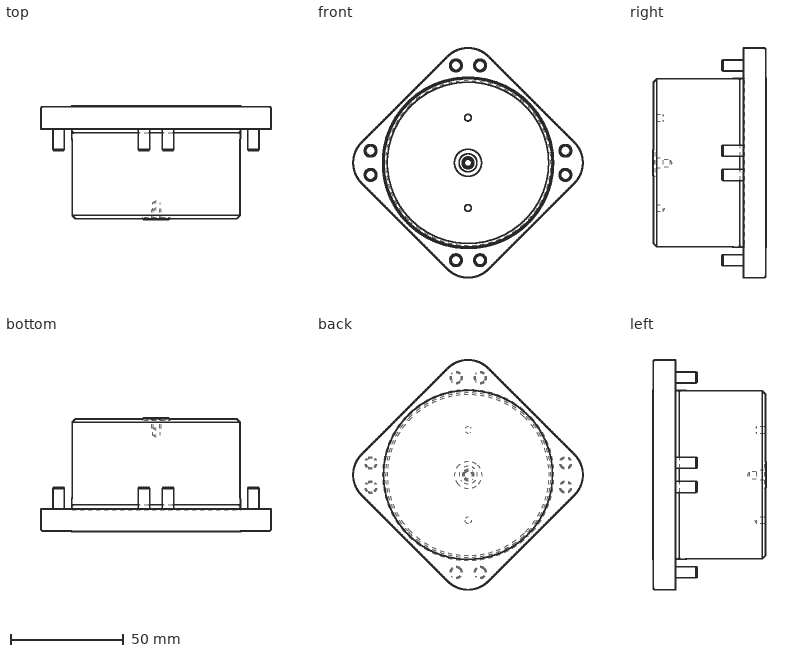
import cadquery as cq
import math


corner_span = 102.0
plate_thick = 10.0
corner_radius = 12.9
plate_back_round = 0.9
plate_front_chamfer = 0.2
flat_span = math.sqrt(2) * (corner_span / 2 - corner_radius) + 2 * corner_radius

pad_dia = 75.0
pad_rise = 0.3

drum_dia = 74.6
drum_length = 39.8
drum_chamfer = 1.5

collar_dia = 75.0
collar_start = 1.6
collar_end = 4.1
collar_taper_end = 4.8
drum_seal_section = 1.8
drum_seal_foot_dia = collar_dia - drum_seal_section

recess_dia = 75.9
recess_depth = (recess_dia - collar_dia) / 2

stud_dia = 5.0
stud_length = 9.5
stud_tip_dia = 4.3
stud_tip_length = 0.6
stud_offset = 43.1
stud_spacing = 10.7
stud_sink_dia = 5.5
stud_sink_depth = (stud_sink_dia - stud_dia) / 2

port_seal_outer_dia = 12.0
port_seal_inner_dia = 8.0
port_seal_rise = 0.4
port_sink_dia = 5.2
port_bore_dia = 4.3
port_bore_depth = 4.1
port_drill_dia = 3.3
port_drill_depth = 7.1

pin_hole_dia = 3.0
pin_hole_offset = 20.0
pin_hole_depth = 4.1
drill_tip_angle = 118.0


def revolve_about_y(profile):
    """Turn a closed XY profile into a solid around the Y axis."""
    return profile.close().revolve(360, (0, 0, 0), (0, 1, 0))


def turned(points):
    """Solid of revolution around Y from (radius, y) points."""
    return revolve_about_y(cq.Workplane("XY").polyline(points))


def cylinder(dia, y_back, y_front):
    """Cylinder on the Y axis, from y_back toward -Y."""
    return cq.Workplane("XZ", origin=(0, y_back, 0)).circle(dia / 2).extrude(y_back - y_front)


def drilled_hole(dia, depth):
    """Blind hole into the drum's end face with a conical drill tip."""
    radius = dia / 2
    tip = radius / math.tan(math.radians(drill_tip_angle / 2))
    bottom = depth - drum_length
    return turned([(0, -drum_length), (radius, -drum_length), (radius, bottom), (0, bottom + tip)])


def make_plate():
    plate = (
        cq.Workplane("XZ", origin=(0, plate_thick, 0))
        .rect(flat_span, flat_span)
        .extrude(plate_thick)
        .edges("|Y").fillet(corner_radius)
        .faces(">Y").edges().fillet(plate_back_round)
        .faces("<Y").chamfer(plate_front_chamfer)
        .rotate((0, 0, 0), (0, 1, 0), 45)
    )
    pad = cylinder(pad_dia, plate_thick + pad_rise, plate_thick)
    recess = turned([(0, 0), (recess_dia / 2, 0), (collar_dia / 2, recess_depth), (0, recess_depth)])
    return plate.union(pad).cut(recess)


def make_drum():
    foot = cylinder(drum_seal_foot_dia, recess_depth, -collar_start)
    body = cylinder(drum_dia, -collar_start, -drum_length).faces("<Y").chamfer(drum_chamfer)
    collar = turned([
        (0, -collar_start),
        (collar_dia / 2, -collar_start),
        (collar_dia / 2, -collar_end),
        (drum_dia / 2, -collar_taper_end),
        (0, -collar_taper_end),
    ])
    return foot.union(body).union(collar)


def make_drum_seal():
    """Half-round bead around the drum's foot, its crest level with the collar."""
    foot_radius = drum_seal_foot_dia / 2
    back = drum_seal_section - collar_start
    crest = (collar_dia / 2, back - drum_seal_section / 2)
    bead = (
        cq.Workplane("XY").moveTo(0, back).lineTo(foot_radius, back)
        .threePointArc(crest, (foot_radius, -collar_start))
        .lineTo(0, -collar_start)
    )
    return revolve_about_y(bead)


def add_port_seal(body):
    """Sink a ring groove into the end face and fill it with a half-round bead."""
    inner = port_seal_inner_dia / 2
    outer = port_seal_outer_dia / 2
    section_radius = (outer - inner) / 2
    floor = section_radius - port_seal_rise - drum_length
    groove = turned([(inner, floor), (outer, floor), (outer, -drum_length), (inner, -drum_length)])
    bead = (
        cq.Workplane("XY").moveTo(inner, floor)
        .threePointArc(((inner + outer) / 2, floor - section_radius), (outer, floor))
    )
    return body.cut(groove).union(revolve_about_y(bead))


def cut_port(body):
    sink_depth = (port_sink_dia - port_bore_dia) / 2
    sink = turned([
        (0, -drum_length),
        (port_sink_dia / 2, -drum_length),
        (port_bore_dia / 2, sink_depth - drum_length),
        (0, sink_depth - drum_length),
    ])
    bore = cylinder(port_bore_dia, port_bore_depth - drum_length, -drum_length)
    return body.cut(sink).cut(bore).cut(drilled_hole(port_drill_dia, port_drill_depth))


def add_studs(body):
    stud = turned([
        (0, stud_sink_depth),
        (stud_dia / 2, stud_sink_depth),
        (stud_dia / 2, stud_tip_length - stud_length),
        (stud_tip_dia / 2, -stud_length),
        (0, -stud_length),
    ])
    sink = turned([(0, 0), (stud_sink_dia / 2, 0), (stud_dia / 2, stud_sink_depth), (0, stud_sink_depth)])
    for turn in range(4):
        for side in (-1, 1):
            place = cq.Location(cq.Vector(0, 0, 0), cq.Vector(0, 1, 0), 90 * turn)
            place = place * cq.Location(cq.Vector(side * stud_spacing / 2, 0, stud_offset))
            body = body.cut(cq.Workplane(sink.val().moved(place)))
            body = body.union(cq.Workplane(stud.val().moved(place)))
    return body


result = make_plate().union(make_drum()).union(make_drum_seal())
result = add_port_seal(result)
result = cut_port(result)
for offset in (-pin_hole_offset, pin_hole_offset):
    result = result.cut(drilled_hole(pin_hole_dia, pin_hole_depth).translate((0, 0, offset)))
result = add_studs(result)